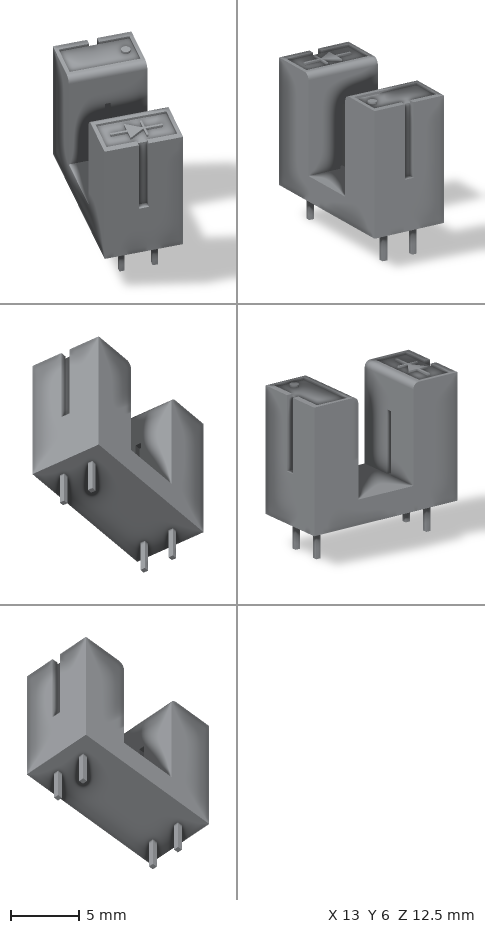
import cadquery as cq


length = 13.0
width = 6.0
height = 10.0
base_height = 2.0
gap_width = 5.0
edge_radius = 0.5

end_wall = 0.5
side_wall = 0.3
recess_length = 2.75
recess_depth = 0.2
recess_center_x = length / 2 - end_wall - recess_length / 2
recess_floor = height - recess_depth

outer_slot_width = 0.75
outer_slot_height = 5.92
outer_slot_depth = end_wall
inner_slot_width = 0.5
inner_slot_height = 5.0
inner_slot_depth = 0.5

pin_size = 0.4
pin_length = 2.51
pin_pitch_x = 10.0
pin_pitch_y = 2.55

dot_diameter = 0.7
dot_y = 2.0
symbol_length = 4.0
symbol_width = 1.74
stem_width = 0.2
bar_width = 0.15
bar_y = 0.6
triangle_base_y = -0.7


def box(size_x, size_y, size_z, x, y, z):
    """Box centred on (x, y) with its underside at z."""
    return cq.Workplane("XY").box(size_x, size_y, size_z, centered=(True, True, False)).translate((x, y, z))


def make_housing():
    body = box(length, width, height, 0, 0, 0)
    body = body.cut(box(gap_width, width, height - base_height, 0, 0, base_height))
    inner_top_edges = cq.selectors.BoxSelector(
        (-gap_width / 2 - 0.13, -width, height - 0.13),
        (gap_width / 2 + 0.13, width, height + 0.13),
    )
    return body.edges("|Y").edges(inner_top_edges).fillet(edge_radius)


def make_arm_cuts(side):
    """Recess, outer slot and gap slot of the arm on the given X side (-1 or 1)."""
    recess = box(
        recess_length, width - 2 * side_wall, recess_depth,
        side * recess_center_x, 0, recess_floor,
    )
    outer_slot = box(
        outer_slot_depth, outer_slot_width, outer_slot_height,
        side * (length - outer_slot_depth) / 2, 0, height - outer_slot_height,
    )
    inner_slot = box(
        inner_slot_depth, inner_slot_width, inner_slot_height,
        side * (gap_width + inner_slot_depth) / 2, 0, base_height,
    )
    return recess.union(outer_slot).union(inner_slot)


def make_dot():
    center = (-recess_center_x, dot_y, recess_floor)
    return cq.Workplane("XY", origin=center).circle(dot_diameter / 2).extrude(recess_depth)


def make_diode_symbol():
    stem = box(stem_width, symbol_length, recess_depth, recess_center_x, 0, recess_floor)
    bar = box(symbol_width, bar_width, recess_depth, recess_center_x, bar_y, recess_floor)
    triangle = (
        cq.Workplane("XY", origin=(recess_center_x, 0, recess_floor))
        .moveTo(-symbol_width / 2, triangle_base_y)
        .lineTo(symbol_width / 2, triangle_base_y)
        .lineTo(0, bar_y)
        .close()
        .extrude(recess_depth)
    )
    return stem.union(bar).union(triangle)


result = make_housing()
for side in (-1, 1):
    result = result.cut(make_arm_cuts(side))
    for pin_side in (-1, 1):
        pin_x = side * pin_pitch_x / 2
        pin_y = pin_side * pin_pitch_y / 2
        result = result.union(box(pin_size, pin_size, pin_length, pin_x, pin_y, -pin_length))
result = result.union(make_dot()).union(make_diode_symbol())